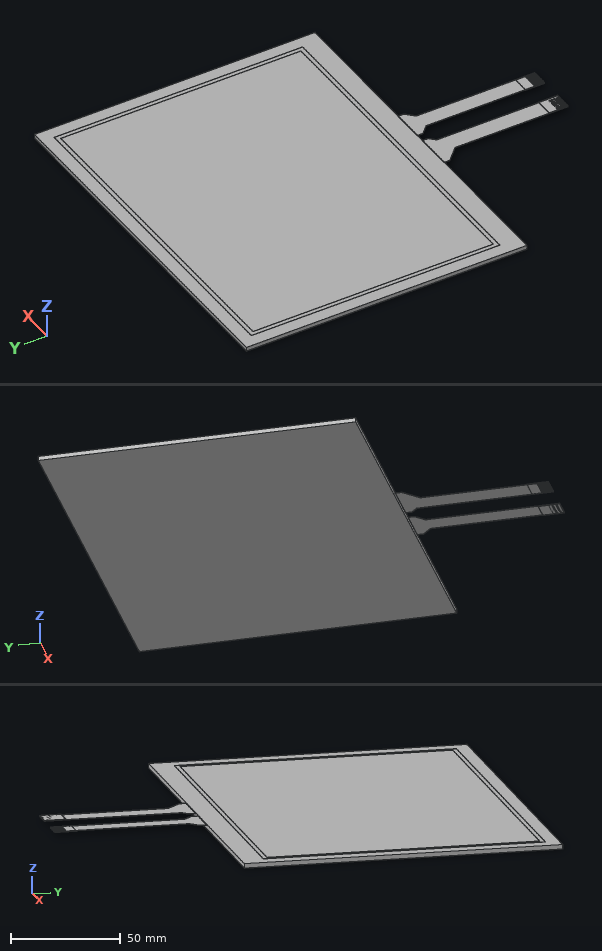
import cadquery as cq

plate_width = 188.3
overall_depth = 220.5
plate_depth = 150.0
thickness = 2.2

frame_margin = 6.6
frame_front_margin = 10.5
groove_width = 2.2
groove_depth = 0.1

tail_length = overall_depth - plate_depth
tail_top = -0.2
tail_thickness = 0.2
tail_bottom = tail_top - tail_thickness
tail_overlap = 2.2
shoulder_length = 3.0

stiffener_length = 10.1
stiffener_thickness = 0.2
pad_length = 5.3
pad_width = 0.55
pad_pitch = 1.0
pad_thickness = 0.05
pad_count = 8


def box(x_min, x_max, y_min, y_max, z_min, z_max):
    """Axis-aligned block given by its limits."""
    size = (x_max - x_min, y_max - y_min, z_max - z_min)
    return cq.Workplane("XY").box(*size, centered=False).translate((x_min, y_min, z_min))


def make_plate():
    """Plate with the rectangular groove in its top face."""
    half = plate_width / 2
    plate = box(-half, half, 0, plate_depth, -thickness, 0)
    outer_x = half - frame_margin
    outer_front = frame_front_margin
    outer_back = plate_depth - frame_margin
    inner_x = outer_x - groove_width
    inner_front = outer_front + groove_width
    inner_back = outer_back - groove_width
    groove = box(-outer_x, outer_x, outer_front, outer_back, -groove_depth, 0)
    island = box(-inner_x, inner_x, inner_front, inner_back, -groove_depth, 0)
    return plate.cut(groove.cut(island))


def make_film(root_left, root_right, stem_left, stem_right):
    """Flat film with a wide root and 45-degree tapers down to a narrow stem."""
    left_taper_end = -shoulder_length - (stem_left - root_left)
    right_taper_end = -shoulder_length - (root_right - stem_right)
    outline = [
        (root_left, tail_overlap),
        (root_left, -shoulder_length),
        (stem_left, left_taper_end),
        (stem_left, -tail_length),
        (stem_right, -tail_length),
        (stem_right, right_taper_end),
        (root_right, -shoulder_length),
        (root_right, tail_overlap),
    ]
    film = cq.Workplane("XY").workplane(offset=tail_bottom).polyline(outline).close()
    return film.extrude(tail_thickness)


def end_strip(x_min, x_max, length, height, on_top):
    """Thin strip at the free end of a tail, on its upper or its lower face."""
    z_min = tail_top if on_top else tail_bottom - height
    return box(x_min, x_max, -tail_length, -tail_length + length, z_min, z_min + height)


def make_tail(root_left, root_right, stem_left, stem_right, pads_on_top):
    """Film with its stiffener and a centred row of contact pads."""
    tail = make_film(root_left, root_right, stem_left, stem_right)
    tail = tail.union(
        end_strip(stem_left, stem_right, stiffener_length, stiffener_thickness, not pads_on_top)
    )
    row_width = (pad_count - 1) * pad_pitch + pad_width
    row_left = (stem_left + stem_right - row_width) / 2
    for index in range(pad_count):
        pad_left = row_left + index * pad_pitch
        pad_right = pad_left + pad_width
        tail = tail.union(end_strip(pad_left, pad_right, pad_length, pad_thickness, pads_on_top))
    return tail


left_tail = make_tail(root_left=-20.5, root_right=-1.0, stem_left=-13.5, stem_right=-4.0, pads_on_top=False)
right_tail = make_tail(root_left=3.3, root_right=20.5, stem_left=7.5, stem_right=16.3, pads_on_top=True)

result = make_plate().union(left_tail).union(right_tail)